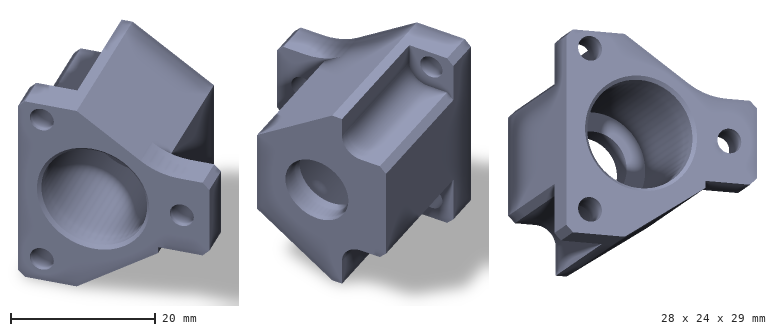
import cadquery as cq
import math

height = 29.0
width = 28.0
depth = 24.0
flange_thickness = 5.0
left_x = -11.0
right_x = left_x + width
top_z = 14.0
bottom_z = top_z - height
corner_chamfer = 1.0

ear_half_height = 6.0
ear_blend_radius = 10.0

slope_start_x = -2.4
body_right_x = 9.5
slope_drop = top_z - ear_half_height

bore_diameter = 10.0
counterbore_diameter = 15.5
counterbore_depth = 20.0
counterbore_chamfer = 0.5
screw_diameter = 3.5
corner_screw_x = -7.5
corner_screw_z = 11.5
ear_screw_x = 13.0

relief_width = 7.0
relief_radius = 3.0
relief_floor = 8.0


def extrude_back(profile, start_y, end_y):
    """Extrude a profile drawn in X and Z between two Y positions."""
    return profile.extrude(start_y - end_y).translate((0, start_y, 0))


def make_main_block(end_y):
    """Block with two chamfered left corners and sloped right sides, from the front face to end_y."""
    profile = (
        cq.Workplane("XZ")
        .moveTo(left_x, bottom_z + corner_chamfer)
        .lineTo(left_x + corner_chamfer, bottom_z)
        .lineTo(slope_start_x, bottom_z)
        .lineTo(body_right_x, bottom_z + slope_drop)
        .lineTo(body_right_x, ear_half_height)
        .lineTo(slope_start_x, top_z)
        .lineTo(left_x + corner_chamfer, top_z)
        .lineTo(left_x, top_z - corner_chamfer)
        .close()
    )
    return extrude_back(profile, 0, end_y)


def make_flange():
    """Front slice of the main block plus the ear, blended where the upper slope meets the ear."""
    ear = (
        cq.Workplane("XY")
        .box(right_x, flange_thickness, 2 * ear_half_height, centered=(False, False, True))
        .edges("|Y and >X")
        .chamfer(corner_chamfer)
    )
    blend_edge = cq.selectors.NearestToPointSelector(
        (body_right_x, flange_thickness / 2, ear_half_height)
    )
    return make_main_block(flange_thickness).union(ear).edges(blend_edge).fillet(ear_blend_radius)


def make_relief(side):
    """Corner cut with a rounded inner corner and a chamfered outer edge; side is +1 or -1 in Z."""
    wall_x = left_x + relief_width
    arc_start = (wall_x - relief_radius, side * relief_floor)
    arc_mid = (
        wall_x - relief_radius * (1 - math.sqrt(0.5)),
        side * (relief_floor + relief_radius * (1 - math.sqrt(0.5))),
    )
    arc_end = (wall_x, side * (relief_floor + relief_radius))
    profile = (
        cq.Workplane("XZ")
        .moveTo(left_x, side * (relief_floor - corner_chamfer))
        .lineTo(left_x + corner_chamfer, side * relief_floor)
        .lineTo(*arc_start)
        .threePointArc(arc_mid, arc_end)
        .lineTo(wall_x, side * height)
        .lineTo(left_x, side * height)
        .close()
    )
    return extrude_back(profile, flange_thickness, depth)


def make_bore():
    """Through bore, counterbore and lead-in chamfer as one turned shape."""
    bore_radius = bore_diameter / 2
    counterbore_radius = counterbore_diameter / 2
    return (
        cq.Workplane("XY")
        .lineTo(counterbore_radius + counterbore_chamfer, 0)
        .lineTo(counterbore_radius, counterbore_chamfer)
        .lineTo(counterbore_radius, counterbore_depth)
        .lineTo(bore_radius, counterbore_depth)
        .lineTo(bore_radius, depth)
        .lineTo(0, depth)
        .close()
        .revolve(360, (0, 0, 0), (0, 1, 0))
    )


def make_screw_holes():
    centers = [
        (corner_screw_x, corner_screw_z),
        (corner_screw_x, -corner_screw_z),
        (ear_screw_x, 0),
    ]
    profile = cq.Workplane("XZ").pushPoints(centers).circle(screw_diameter / 2)
    return extrude_back(profile, 0, flange_thickness)


result = (
    make_main_block(depth)
    .cut(make_relief(1))
    .cut(make_relief(-1))
    .union(make_flange())
    .cut(make_bore())
    .cut(make_screw_holes())
)